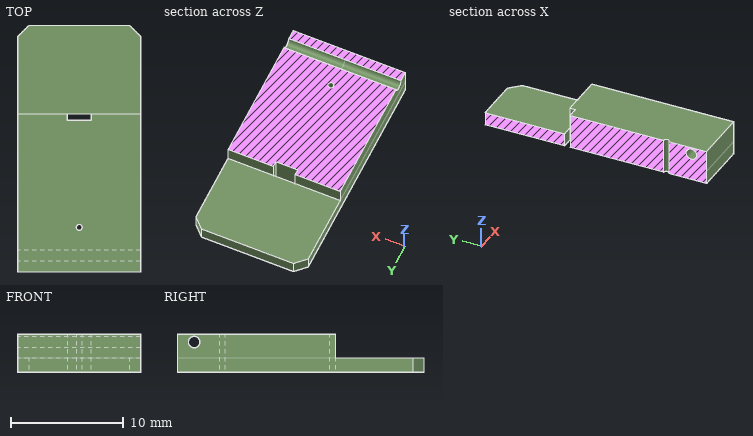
import cadquery as cq

width = 11.0
length = 22.0
base_thickness = 1.3
corner_chamfer = 1.0

total_height = 3.4
block_length = 14.1

slot_width = 2.1
slot_depth = 0.55

vent_diameter = 0.5
vent_from_front = 4.0

cross_diameter = 1.0
cross_from_front = 1.5
cross_height = 2.7


def make_base():
    """Flat plate with its two back corners chamfered."""
    plate = cq.Workplane("XY").box(width, length, base_thickness, centered=(True, False, False))
    return plate.edges("|Z and >Y").chamfer(corner_chamfer)


def make_block():
    """Raised block, flush with the front and sides of the plate."""
    block_height = total_height - base_thickness
    block = cq.Workplane("XY").box(width, block_length, block_height, centered=(True, False, False))
    return block.translate((0, 0, base_thickness))


def make_slot():
    """Cutter for the slot, passing through block and plate."""
    slot = cq.Workplane("XY").box(slot_width, slot_depth, total_height, centered=(True, False, False))
    return slot.translate((0, block_length - slot_depth, 0))


def make_vent():
    """Cutter for the small vertical through hole."""
    return cq.Workplane("XY").center(0, vent_from_front).circle(vent_diameter / 2).extrude(total_height)


def make_cross_hole():
    """Cutter for the through hole from side to side."""
    profile = cq.Workplane("YZ").center(cross_from_front, cross_height).circle(cross_diameter / 2)
    return profile.extrude(width / 2, both=True)


result = make_base().union(make_block(), clean=False)
for cutter in (make_slot(), make_vent(), make_cross_hole()):
    result = result.cut(cutter, clean=False)